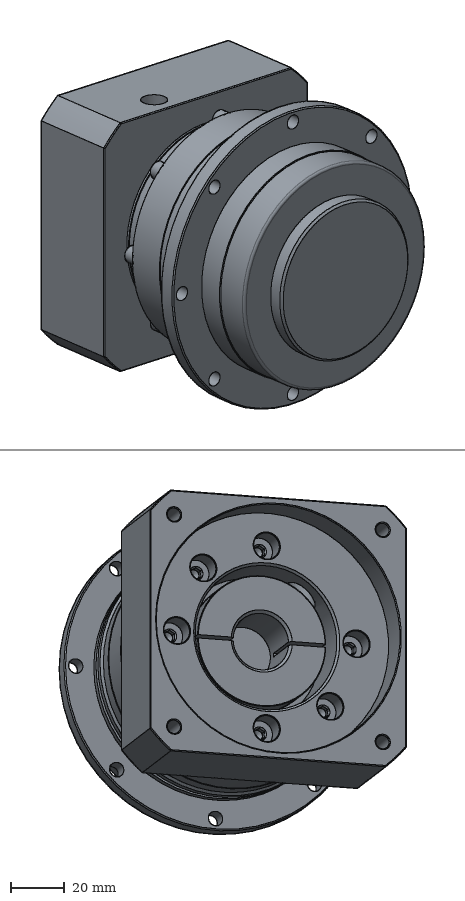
import cadquery as cq
import math


plate_back = 36.5
case_back = 37.7
cover_back = 48.5
flange_unit_back = 64.0
total_length = 116.0

plate_size = 100.0
plate_corner_dia = 130.5
plate_edge_chamfer = 0.4
neck_dia = 78.0
recess_dia = 95.0
recess_depth = 14.7
recess_chamfer = 0.4
plate_bore_dia = 55.2
plate_bore_chamfer = 0.9
motor_hole_dia = 5.1
motor_hole_circle = 115.0
motor_hole_depth = 15.0
motor_hole_chamfer = 0.4
drill_tip_angle = 118.0
plate_screw_circle = 70.0
plate_screw_angles = (0, 45, 90, 180, 225, 270)
plate_screw_head_dia = 10.0
plate_screw_head_depth = 9.0
plate_screw_chamfer = 0.3
socket_width = 4.0
socket_depth = 3.0
socket_rim_dia = 5.3

hub_back = 21.0
hub_width = 12.2
hub_dia = 50.0
hub_chamfer = 0.25
sleeve_dia = 34.8
sleeve_end = 48.0
shaft_bore_dia = 21.6
shaft_bore_chamfer = 1.1
shaft_bore_depth = 24.0
slot_width = 1.3
slot_depth = 20.0

clamp_x = hub_back + hub_width / 2
clamp_y = -17.5
access_dia = 10.0
clamp_seat_height = 10.0
clamp_rim_dia = 7.0
clamp_socket_width = 5.0

body_dia = 93.0
joint_chamfer = 0.2
screw_count = 8
screw_circle = 86.0
screw_head_dia = 7.0
screw_head_height = 4.9
screw_head_chamfer = 0.4
screw_socket_width = 3.0
screw_socket_depth = 2.0

pilot_dia = 95.0
pilot_start = 70.2
pilot_chamfer = 1.0
seal_groove_start = 73.9
seal_groove_end = 76.2
front_dia = 89.7
flange_start = 79.0
flange_dia = 118.0
flange_thickness = 7.0
flange_chamfer = 0.5
flange_hole_count = 8
flange_hole_dia = 5.5
flange_hole_circle = 109.0
nose_start = 96.5
nose_end = 109.9
nose_dia = 89.0
nose_fillet = 1.0
nose_step_chamfer = 0.3
output_dia = 63.0
output_chamfer = 0.9


def section_at(x):
    """Sketch plane across the main axis: local x is Y, local y is Z, extrusion goes to +X."""
    return cq.Workplane("YZ", origin=(x, 0, 0))


def cylinder(start, end, dia):
    return section_at(start).circle(dia / 2).extrude(end - start)


def cone(start, start_dia, end, end_dia):
    """Truncated cone on the main axis, or a full cone when end_dia is zero."""
    profile = [(start, 0), (start, start_dia / 2), (end, end_dia / 2)]
    if end_dia > 0:
        profile.append((end, 0))
    return cq.Workplane("XY").polyline(profile).close().revolve(360, (0, 0), (1, 0))


def on_circle(tool, circle_dia, angles):
    """Copies of an axial tool set on a bolt circle, angles measured from +Y toward +Z."""
    copies = cq.Workplane("XY")
    for angle in angles:
        turn = math.radians(angle)
        y = circle_dia / 2 * math.cos(turn)
        z = circle_dia / 2 * math.sin(turn)
        copies = copies.add(tool.translate((0, y, z)))
    return copies.combine()


def equal_angles(count):
    return [index * 360 / count for index in range(count)]


def hex_socket(start, width, depth, rim_dia):
    """Hexagonal socket sunk from X = start, with a conical rim and a conical bottom."""
    corner_dia = width / math.cos(math.pi / 6)
    rim_depth = (rim_dia - width) / 2
    bottom = start + depth
    tip = bottom + width / 2 / math.tan(math.radians(drill_tip_angle / 2))
    hexagon = section_at(start).transformed(rotate=(0, 0, 90)).polygon(6, corner_dia).extrude(depth)
    rim = cone(start, rim_dia, start + rim_depth, width)
    return hexagon.union(rim).union(cone(bottom, width, tip, 0))


def motor_hole():
    chamfered_dia = motor_hole_dia + 2 * motor_hole_chamfer
    tip = motor_hole_depth + motor_hole_dia / 2 / math.tan(math.radians(drill_tip_angle / 2))
    hole = cylinder(0, motor_hole_depth, motor_hole_dia)
    hole = hole.union(cone(0, chamfered_dia, motor_hole_chamfer, motor_hole_dia))
    return hole.union(cone(motor_hole_depth, motor_hole_dia, tip, 0))


def plate_screw_hole():
    head_top = recess_depth + plate_screw_head_depth
    chamfered_dia = plate_screw_head_dia + 2 * plate_screw_chamfer
    hole = cylinder(recess_depth, head_top, plate_screw_head_dia)
    hole = hole.union(
        cone(recess_depth, chamfered_dia, recess_depth + plate_screw_chamfer, plate_screw_head_dia)
    )
    return hole.union(hex_socket(head_top, socket_width, socket_depth, socket_rim_dia))


def clamp_access():
    """Radial hole from the top of the plate down to the seat in the hub."""
    height = plate_size / 2 - clamp_seat_height
    plane = cq.Workplane("XY", origin=(clamp_x, clamp_y, clamp_seat_height))
    return plane.circle(access_dia / 2).extrude(height)


def make_adapter_plate():
    plate = section_at(0).rect(plate_size, plate_size).extrude(plate_back)
    plate = plate.intersect(cylinder(0, plate_back, plate_corner_dia))
    plate = plate.faces("<X or >X").chamfer(plate_edge_chamfer)
    spigot = cylinder(plate_back, case_back, neck_dia).faces(">X").chamfer(joint_chamfer)
    plate = plate.union(spigot)

    plate = plate.cut(cylinder(0, recess_depth, recess_dia))
    plate = plate.cut(cone(0, recess_dia + 2 * recess_chamfer, recess_chamfer, recess_dia))
    plate = plate.cut(cylinder(recess_depth, case_back, plate_bore_dia))
    bore_rim_dia = plate_bore_dia + 2 * plate_bore_chamfer
    bore_rim_end = recess_depth + plate_bore_chamfer
    plate = plate.cut(cone(recess_depth, bore_rim_dia, bore_rim_end, plate_bore_dia))

    corner_angles = [angle + 45 for angle in equal_angles(4)]
    plate = plate.cut(on_circle(motor_hole(), motor_hole_circle, corner_angles))
    plate = plate.cut(on_circle(plate_screw_hole(), plate_screw_circle, plate_screw_angles))
    return plate.cut(clamp_access())


def make_clamp_hub():
    hub_front = hub_back + hub_width
    hub = cylinder(hub_back, hub_front, hub_dia).faces("<X or >X").chamfer(hub_chamfer)
    hub = hub.union(cylinder(hub_front, sleeve_end, sleeve_dia))

    bore_rim_dia = shaft_bore_dia + 2 * shaft_bore_chamfer
    hub = hub.cut(cylinder(hub_back, hub_back + shaft_bore_depth, shaft_bore_dia))
    hub = hub.cut(cone(hub_back, bore_rim_dia, hub_back + shaft_bore_chamfer, shaft_bore_dia))
    hub = hub.cut(section_at(hub_back).rect(hub_dia, slot_width).extrude(slot_depth))

    socket = hex_socket(0, clamp_socket_width, socket_depth, clamp_rim_dia)
    socket = socket.rotate((0, 0, 0), (0, 1, 0), 90)
    socket = socket.translate((clamp_x, clamp_y, clamp_seat_height))
    return hub.cut(clamp_access()).cut(socket)


def make_gear_case():
    case = cylinder(case_back, cover_back, neck_dia).faces("<X").chamfer(joint_chamfer)
    cover = cylinder(cover_back, flange_unit_back, body_dia).faces(">X").chamfer(joint_chamfer)
    case = case.union(cover)

    head_top = cover_back - screw_head_height
    head = cylinder(head_top, cover_back, screw_head_dia).faces("<X").chamfer(screw_head_chamfer)
    rim_dia = screw_socket_width / math.cos(math.pi / 6)
    head = head.cut(hex_socket(head_top, screw_socket_width, screw_socket_depth, rim_dia))
    case = case.union(on_circle(head, screw_circle, equal_angles(screw_count)))
    return case.cut(cylinder(case_back, sleeve_end, sleeve_dia))


def make_flange_unit():
    unit = cylinder(flange_unit_back, pilot_start, body_dia).faces("<X").chamfer(joint_chamfer)
    pilot = cylinder(pilot_start, seal_groove_start, pilot_dia).faces("<X").chamfer(pilot_chamfer)
    unit = unit.union(pilot)
    front = cylinder(seal_groove_start, nose_start, front_dia).faces(">X").chamfer(nose_step_chamfer)
    unit = unit.union(front)
    unit = unit.union(cylinder(seal_groove_end, flange_start, pilot_dia))

    flange = cylinder(flange_start, flange_start + flange_thickness, flange_dia)
    unit = unit.union(flange.edges().chamfer(flange_chamfer))
    unit = unit.union(cylinder(flange_start, nose_end, nose_dia).faces(">X").fillet(nose_fillet))
    unit = unit.union(cylinder(nose_end, total_length, output_dia).faces(">X").chamfer(output_chamfer))

    hole = cylinder(flange_start, flange_start + flange_thickness, flange_hole_dia)
    return unit.cut(on_circle(hole, flange_hole_circle, equal_angles(flange_hole_count)))


adapter_plate = make_adapter_plate()
clamp_hub = make_clamp_hub()
gear_case = make_gear_case()
flange_unit = make_flange_unit()

result = cq.Compound.makeCompound(
    [adapter_plate.val(), clamp_hub.val(), gear_case.val(), flange_unit.val()]
)